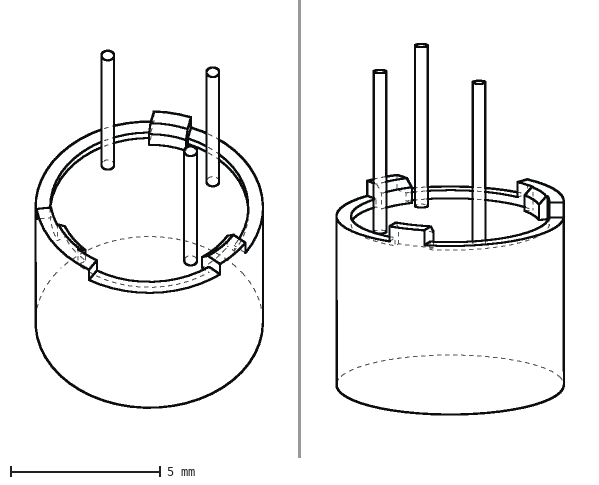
import cadquery as cq
import math

OUTER_RADIUS = 7.62 / 2
INNER_RADIUS = 3.32
RIM_HEIGHT = 5.85
RECESS_DEPTH = 0.28
FLOOR_HEIGHT = RIM_HEIGHT - RECESS_DEPTH

TRIM_ALLOWANCE = 1
BLANK_RADIUS = OUTER_RADIUS + TRIM_ALLOWANCE

TAB_RISE = 0.52
TAB_TOP = RIM_HEIGHT + TAB_RISE
TAB_WIDTH = 1.27
NARROW_TAB_ANGLES = (15, 135)
WIDE_TAB_ANGLE = 270
WIDE_TAB_SPAN = 50

LIP_RADIUS = 3.02
LIP_CHAMFER = 0.26

PIN_RADIUS = 0.43 / 2
PIN_CIRCLE_RADIUS = 2.54
PIN_ANGLES = (0, 90, 180)
PIN_TOP = 11.13


def make_blank():
    """Oversize block with the wide tab's wedge on top and a round recess through both."""
    block = cq.Workplane("XY").circle(BLANK_RADIUS).extrude(RIM_HEIGHT)
    wedge_half_width = BLANK_RADIUS * math.tan(math.radians(WIDE_TAB_SPAN / 2))
    wedge = (
        cq.Workplane("XY", origin=(0, 0, RIM_HEIGHT))
        .polyline([(0, 0), (BLANK_RADIUS, -wedge_half_width), (BLANK_RADIUS, wedge_half_width)])
        .close()
        .extrude(TAB_RISE)
        .rotate((0, 0, 0), (0, 0, 1), WIDE_TAB_ANGLE)
    )
    recess = (
        cq.Workplane("XY", origin=(0, 0, FLOOR_HEIGHT))
        .circle(INNER_RADIUS)
        .extrude(TAB_TOP - FLOOR_HEIGHT)
    )
    return block.union(wedge).cut(recess)


def make_lipped_tab(angle):
    """Parallel-sided oversize tab whose inner lip has a chamfered top edge."""
    profile = [
        (LIP_RADIUS, FLOOR_HEIGHT),
        (BLANK_RADIUS, FLOOR_HEIGHT),
        (BLANK_RADIUS, TAB_TOP),
        (LIP_RADIUS + LIP_CHAMFER, TAB_TOP),
        (LIP_RADIUS, TAB_TOP - LIP_CHAMFER),
    ]
    ring = cq.Workplane("XZ").polyline(profile).close().revolve(360, (0, 0, 0), (0, 1, 0))
    strip = (
        cq.Workplane("XY", origin=(OUTER_RADIUS, 0, FLOOR_HEIGHT))
        .rect(2 * TRIM_ALLOWANCE, TAB_WIDTH)
        .extrude(TAB_TOP - FLOOR_HEIGHT)
    )
    return ring.intersect(strip).rotate((0, 0, 0), (0, 0, 1), angle)


def make_pins():
    """Round pins rising from the recess floor."""
    centers = []
    for angle in PIN_ANGLES:
        turn = math.radians(angle)
        centers.append((PIN_CIRCLE_RADIUS * math.cos(turn), PIN_CIRCLE_RADIUS * math.sin(turn)))
    floor = cq.Workplane("XY", origin=(0, 0, FLOOR_HEIGHT))
    return floor.pushPoints(centers).circle(PIN_RADIUS).extrude(PIN_TOP - FLOOR_HEIGHT)


result = make_blank()
for tab_angle in (*NARROW_TAB_ANGLES, WIDE_TAB_ANGLE):
    result = result.union(make_lipped_tab(tab_angle))

result = result.intersect(cq.Workplane("XY").circle(OUTER_RADIUS).extrude(TAB_TOP))
result = result.union(make_pins())